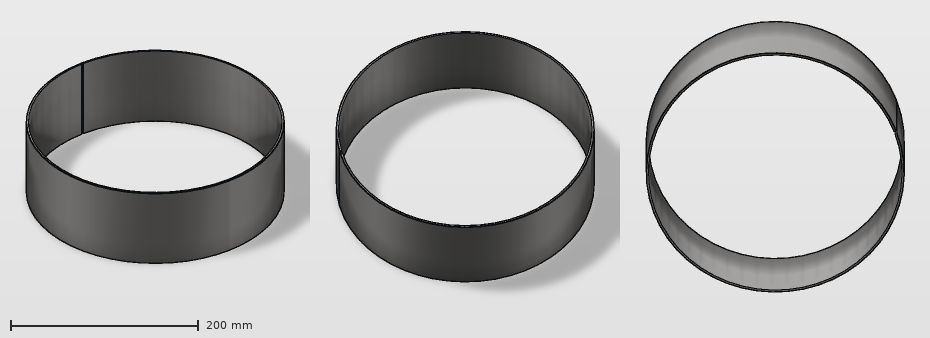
import cadquery as cq

outer_diameter = 275.0
wall = 2.5
height = 90.0
rim_chamfer = 0.5
gap_width = 2.0

outer_radius = outer_diameter / 2
inner_radius = outer_radius - wall

disc = cq.Workplane("XY").circle(outer_radius).extrude(height).faces("|Z").edges().chamfer(rim_chamfer)
bore = cq.Workplane("XY").circle(inner_radius).extrude(height)
band = disc.cut(bore)

gap_cutter_length = outer_radius + wall
gap = cq.Workplane("XY").box(gap_cutter_length, gap_width, height, centered=False)
gap = gap.translate((-gap_cutter_length, 0, 0))

result = band.cut(gap)